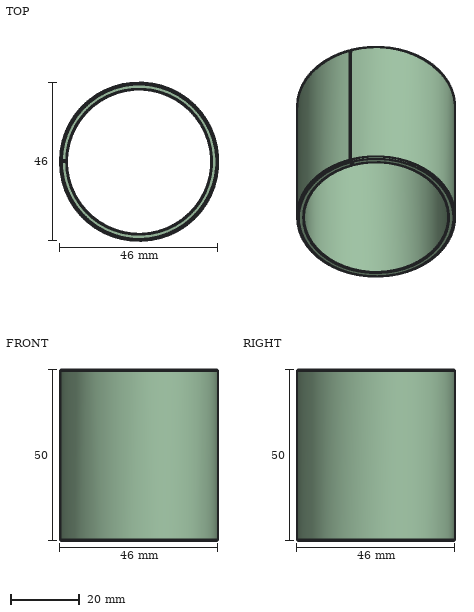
import cadquery as cq

OUTER_DIAMETER = 46.0
WALL = 2.0
LENGTH = 50.0

SLIT_ANGLE = 1.0

OUTER_CHAMFER = 0.5
INNER_CHAMFER = 0.2

OUTER_RADIUS = OUTER_DIAMETER / 2
INNER_RADIUS = OUTER_RADIUS - WALL


def wall_section():
    """Half-plane section of the wall on the -X side, chamfered at all four corners."""
    outer_rim = OUTER_RADIUS - OUTER_CHAMFER
    inner_rim = INNER_RADIUS + INNER_CHAMFER
    return (
        cq.Workplane("XZ")
        .moveTo(-inner_rim, 0)
        .lineTo(-outer_rim, 0)
        .lineTo(-OUTER_RADIUS, OUTER_CHAMFER)
        .lineTo(-OUTER_RADIUS, LENGTH - OUTER_CHAMFER)
        .lineTo(-outer_rim, LENGTH)
        .lineTo(-inner_rim, LENGTH)
        .lineTo(-INNER_RADIUS, LENGTH - INNER_CHAMFER)
        .lineTo(-INNER_RADIUS, INNER_CHAMFER)
        .close()
    )


def split_sleeve():
    """Revolve the section counter-clockwise about Z, stopping short to leave the slit."""
    return wall_section().revolve(360 - SLIT_ANGLE, (0, 0), (0, 1))


result = split_sleeve()